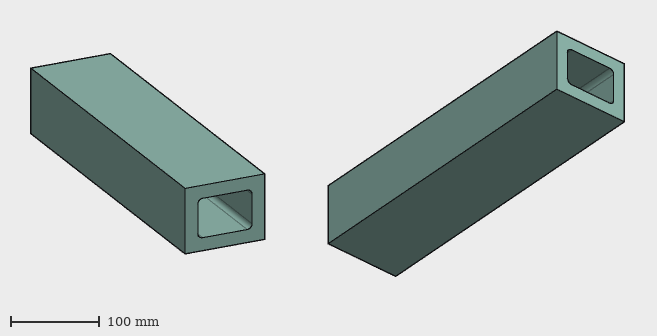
import cadquery as cq

length = 400
width = 100
height = 80
wall = 16
bore_corner_radius = 6.0

tube = cq.Workplane("XY").box(length, width, height)

bore = (
    cq.Workplane("XY")
    .box(length, width - 2 * wall, height - 2 * wall)
    .edges("|X")
    .fillet(bore_corner_radius)
)

result = tube.cut(bore)